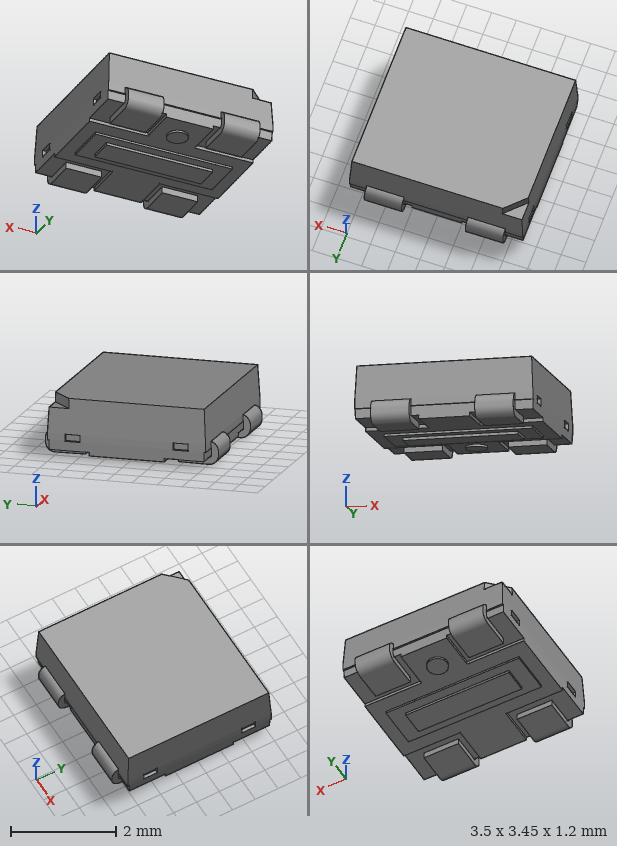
import cadquery as cq

body_length = 3.5
body_width = 3.157
top_length = 3.43
top_width = 3.08
base_length = 3.48
base_width = 3.073
base_top_width = 3.095

pad_bottom_z = 0.055
base_bottom_z = 0.1
recess_roof_z = 0.17
frame_bottom_z = 0.357
frame_top_z = 0.497
body_top_z = 1.2

notch_leg = 0.378
notch_depth = 0.2

cross_half_x = 0.5
cross_half_y = 0.745

pocket_inner_y = 0.928
pocket_outer_y = 1.23
pocket_depth = 0.07

lead_span = 3.45
lead_width = 0.755
lead_centre_x = 1.022
lead_thickness = 0.14
lead_outer_radius = 0.195
lead_inner_radius = lead_outer_radius - lead_thickness
lead_bottom_z = 0.03
lead_tip_y = 0.928
lead_tip_z = 0.04
lead_root_y = 1.505

pad_length = 2.912
pad_width = 0.868
strip_length = 2.26
strip_width = 0.497
mark_radius = 0.21
mark_inner_y = 0.798


def block(x_range, y_range, z_range):
    """Box between two limits on each axis."""
    sizes = [high - low for low, high in (x_range, y_range, z_range)]
    corner = (x_range[0], y_range[0], z_range[0])
    return cq.Workplane("XY").box(*sizes, centered=False).translate(corner)


def centred_block(length, width, bottom_z, top_z):
    """Box centred on X and Y."""
    return block((-length / 2, length / 2), (-width / 2, width / 2), (bottom_z, top_z))


def tapered_block(lower_size, upper_size, lower_z, upper_z):
    """Rectangular frustum between two levels."""
    return (
        cq.Workplane("XY", origin=(0, 0, lower_z))
        .rect(*lower_size)
        .workplane(offset=upper_z - lower_z)
        .rect(*upper_size)
        .loft(ruled=True)
    )


def make_body():
    """Tapered housing on a straight frame and a narrower base."""
    frame_size = (body_length, body_width)
    base_top_size = (body_length, base_top_width)
    housing = tapered_block(frame_size, (top_length, top_width), frame_top_z, body_top_z)
    frame = centred_block(*frame_size, frame_bottom_z, frame_top_z)
    base = tapered_block((base_length, base_width), base_top_size, base_bottom_z, frame_bottom_z)
    return housing.union(frame).union(base)


def corner_notch():
    """Triangular prism cutting the -X, +Y corner of the top face."""
    corner_x = -top_length / 2
    corner_y = top_width / 2
    reach = notch_leg
    return (
        cq.Workplane("XY", origin=(0, 0, body_top_z - notch_depth))
        .moveTo(corner_x - reach, corner_y - notch_leg - reach)
        .lineTo(corner_x + notch_leg + reach, corner_y + reach)
        .lineTo(corner_x - reach, corner_y + reach)
        .close()
        .extrude(notch_depth)
    )


def corner_recess():
    """Clearance under the +X, +Y corner of the base."""
    return block(
        (cross_half_x, body_length / 2),
        (cross_half_y, body_width / 2),
        (base_bottom_z, recess_roof_z),
    )


def frame_pocket():
    """Pocket in the +X face of the frame, on the +Y side."""
    return block(
        (body_length / 2 - pocket_depth, body_length / 2),
        (pocket_inner_y, pocket_outer_y),
        (frame_bottom_z, frame_top_z),
    )


def lead():
    """Lead on the +X, +Y corner: out of the frame, down and under the base."""
    outer_y = lead_span / 2
    inner_y = outer_y - lead_thickness
    bend_y = outer_y - lead_outer_radius
    upper_bend_z = frame_top_z - lead_outer_radius
    lower_bend_z = lead_bottom_z + lead_outer_radius
    return (
        cq.Workplane("YZ", origin=(lead_centre_x, 0, 0))
        .moveTo(lead_root_y, frame_top_z)
        .lineTo(bend_y, frame_top_z)
        .radiusArc((outer_y, upper_bend_z), lead_outer_radius)
        .lineTo(outer_y, lower_bend_z)
        .radiusArc((bend_y, lead_bottom_z), lead_outer_radius)
        .lineTo(lead_tip_y, lead_tip_z)
        .lineTo(lead_tip_y, recess_roof_z)
        .lineTo(bend_y, recess_roof_z)
        .radiusArc((inner_y, lower_bend_z), -lead_inner_radius)
        .lineTo(inner_y, frame_bottom_z)
        .lineTo(lead_root_y, frame_bottom_z)
        .close()
        .extrude(lead_width / 2, both=True)
    )


def four_corners(feature):
    """The feature with its mirror images about both vertical mid-planes."""
    pair = feature.union(feature.mirror("YZ"))
    return pair.union(pair.mirror("XZ"))


def underside_layers():
    """Pad, strip and round index mark stacked below the base."""
    pad = centred_block(pad_length, pad_width, pad_bottom_z, base_bottom_z)
    strip = centred_block(strip_length, strip_width, 0, pad_bottom_z)
    mark = (
        cq.Workplane("XY", origin=(0, mark_inner_y + mark_radius, pad_bottom_z))
        .circle(mark_radius)
        .extrude(base_bottom_z - pad_bottom_z)
    )
    return pad.union(strip).union(mark)


result = (
    make_body()
    .cut(corner_notch())
    .cut(four_corners(corner_recess()))
    .cut(four_corners(frame_pocket()))
    .union(four_corners(lead()))
    .union(underside_layers())
)